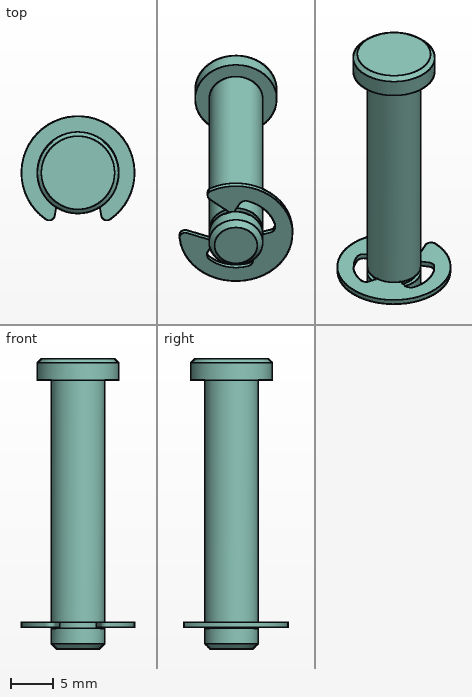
import cadquery as cq
import math

pin_length = 34.29
shank_diameter = 6.35
head_diameter = 9.65
head_thickness = 2.54
head_chamfer = 0.5
end_chamfer = 0.65

groove_diameter = 5.334
groove_width = 0.737
groove_bottom = 2.45
groove_top = groove_bottom + groove_width

ring_diameter = 13.39
ring_thickness = 0.635
ring_bottom = groove_top - ring_thickness

prong_tip_y = -1.66
prong_tip_x = 2.16
mouth_flare_angle = 9.5
ring_end_fillet = 0.685

pocket_diameter = 9.56
rear_prong_apex_y = 1.37
rear_prong_half_angle = 45
pocket_fillet = 0.85


def make_pin():
    head = (
        cq.Workplane("XY", origin=(0, 0, pin_length - head_thickness))
        .circle(head_diameter / 2)
        .extrude(head_thickness)
        .faces(">Z")
        .chamfer(head_chamfer)
    )
    shank = (
        cq.Workplane("XY")
        .circle(shank_diameter / 2)
        .extrude(pin_length - head_thickness)
        .faces("<Z")
        .chamfer(end_chamfer)
    )
    groove = (
        cq.Workplane("XY", origin=(0, 0, groove_bottom))
        .circle(shank_diameter / 2)
        .circle(groove_diameter / 2)
        .extrude(groove_width)
    )
    return shank.union(head).cut(groove)


def ring_plane():
    return cq.Workplane("XY", origin=(0, 0, ring_bottom))


def make_mouth():
    """Flared opening from the prong tips out to the -Y edge of the ring."""
    outer_y = -ring_diameter / 2
    flare = (prong_tip_y - outer_y) * math.tan(math.radians(mouth_flare_angle))
    outer_x = prong_tip_x + flare
    return (
        ring_plane()
        .polyline([
            (-prong_tip_x, prong_tip_y),
            (-outer_x, outer_y),
            (outer_x, outer_y),
            (prong_tip_x, prong_tip_y),
        ])
        .close()
        .extrude(ring_thickness)
    )


def make_left_pocket():
    """Sector between the rear prong and the -X side prong, rounded at its two outer corners."""
    reach = pocket_diameter / 2
    rear_rise = reach / math.tan(math.radians(rear_prong_half_angle))
    sector = (
        ring_plane()
        .polyline([
            (0, rear_prong_apex_y),
            (-reach, rear_prong_apex_y + rear_rise),
            (-reach, prong_tip_y),
            (0, prong_tip_y),
        ])
        .close()
        .extrude(ring_thickness)
    )
    disc = ring_plane().circle(reach).extrude(ring_thickness)
    return sector.intersect(disc).edges("|Z and (not >X)").fillet(pocket_fillet)


def make_ring():
    left_pocket = make_left_pocket()
    return (
        ring_plane()
        .circle(ring_diameter / 2)
        .circle(groove_diameter / 2)
        .extrude(ring_thickness)
        .cut(make_mouth())
        .edges("|Z and <Y")
        .fillet(ring_end_fillet)
        .cut(left_pocket)
        .cut(left_pocket.mirror("YZ"))
    )


pin = make_pin()
ring = make_ring()
result = cq.Compound.makeCompound([pin.val(), ring.val()])